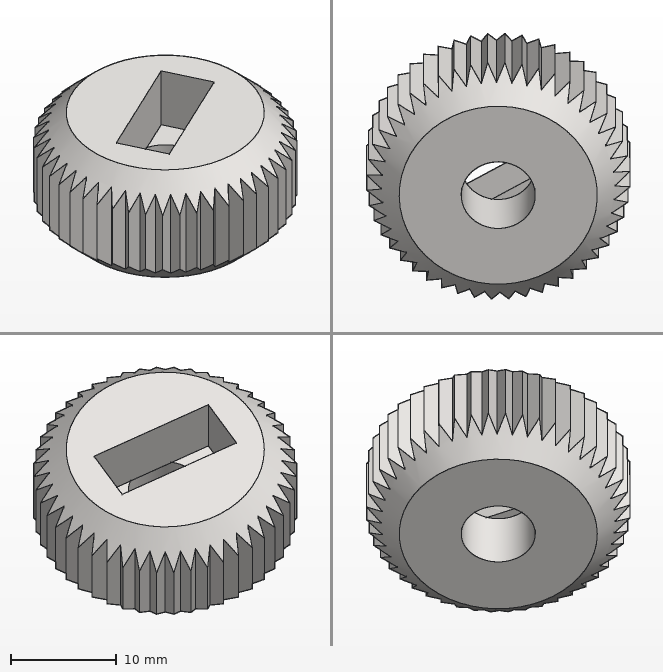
import cadquery as cq
import math

height = 12.5
tip_radius = 12.5
chamfer = 3.12

tooth_count = 48
groove_angle = math.radians(60)
half_pitch = math.pi / tooth_count
groove_half_width = tip_radius * math.sin(half_pitch)
groove_depth = groove_half_width / math.tan(groove_angle / 2)
valley_radius = tip_radius * math.cos(half_pitch) - groove_depth

pocket_width = 5.35
pocket_length = 12.5
pocket_depth = height / 2
bore_diameter = 7.0


def polar(radius, angle):
    return (radius * math.cos(angle), radius * math.sin(angle))


def serrated_prism():
    """Full-height star prism with a valley centred on the X and Y axes."""
    outline = []
    for tooth in range(tooth_count):
        valley_angle = 2 * tooth * half_pitch
        outline.append(polar(valley_radius, valley_angle))
        outline.append(polar(tip_radius, valley_angle + half_pitch))
    return cq.Workplane("XY").polyline(outline).close().extrude(height)


def chamfered_disc():
    """Disc whose conical ends trim the teeth to 45 degrees at both faces."""
    return cq.Workplane("XY").circle(tip_radius).extrude(height).faces("|Z").edges().chamfer(chamfer)


def pocket():
    """Rectangular pocket sunk from the top face."""
    return (
        cq.Workplane("XY", origin=(0, 0, height - pocket_depth))
        .rect(pocket_width, pocket_length)
        .extrude(pocket_depth)
    )


def bore():
    """Round hole through the floor of the pocket, reaching no higher than that floor."""
    return cq.Workplane("XY").circle(bore_diameter / 2).extrude(height - pocket_depth)


result = serrated_prism().intersect(chamfered_disc()).cut(pocket()).cut(bore())